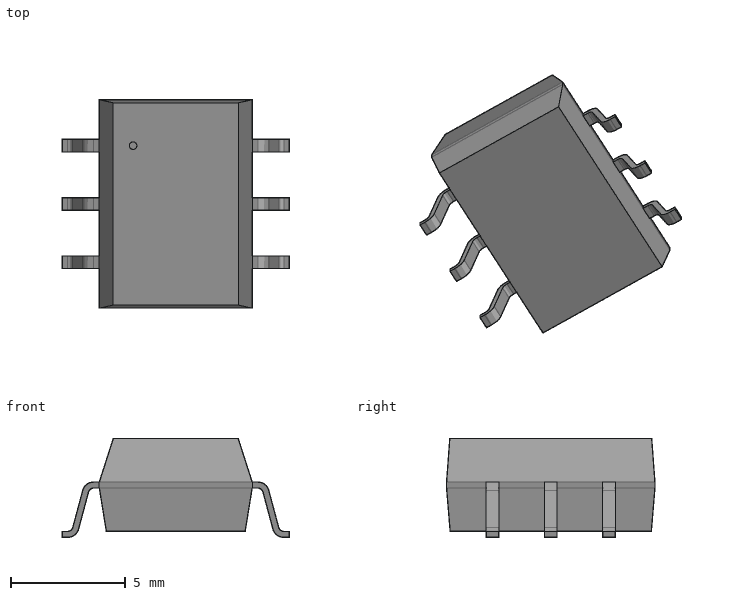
import cadquery as cq
import math

lead_span = 9.91
total_height = 4.32

lead_rows = 3
lead_pitch = 2.54
lead_width = 0.56
lead_thickness = 0.27
bend_inner_radius = 0.23
leg_lean = 15.0

band_width = 6.67
band_length = 9.09
top_width = 5.45
top_length = 8.81
bottom_width = 6.06
bottom_length = 8.78
band_bottom = 2.15
band_height = lead_thickness
band_top = band_bottom + band_height
package_bottom = lead_thickness

marker_diameter = 0.33
marker_depth = 0.1
marker_x = -1.86
marker_y = lead_pitch


def tapered_block(width_low, length_low, z_low, width_high, length_high, z_high):
    """Block whose rectangular section changes evenly from z_low to z_high."""
    return (
        cq.Workplane("XY", origin=(0, 0, z_low))
        .rect(width_low, length_low)
        .workplane(offset=z_high - z_low)
        .rect(width_high, length_high)
        .loft(ruled=True)
    )


def make_marker():
    """Pin 1 marker: a thin disc set into the top face."""
    return (
        cq.Workplane("XY", origin=(marker_x, marker_y, total_height - marker_depth))
        .circle(marker_diameter / 2)
        .extrude(marker_depth)
    )


def make_package(marker):
    """Moulded package with a recess that holds the marker."""
    lower = tapered_block(
        bottom_width, bottom_length, package_bottom, band_width, band_length, band_bottom
    )
    band = cq.Workplane("XY", origin=(0, 0, band_bottom)).rect(band_width, band_length).extrude(band_height)
    upper = tapered_block(band_width, band_length, band_top, top_width, top_length, total_height)
    return lower.union(band).union(upper).cut(marker)


def make_right_lead(y_center):
    """Gull-wing lead on the +X side: a strip swept along its centreline."""
    bend_radius = bend_inner_radius + lead_thickness / 2
    bend_angle = math.radians(90 - leg_lean)
    bend_run = bend_radius * math.sin(bend_angle)
    bend_drop = bend_radius * (1 - math.cos(bend_angle))
    mid_run = bend_radius * math.sin(bend_angle / 2)
    mid_drop = bend_radius * (1 - math.cos(bend_angle / 2))

    shoulder_x = band_width / 2
    foot_x = lead_span / 2
    shoulder_z = band_bottom + band_height / 2
    foot_z = lead_thickness / 2
    leg_drop = shoulder_z - foot_z - 2 * bend_drop
    leg_run = leg_drop * math.tan(math.radians(leg_lean))
    flat_length = (foot_x - shoulder_x - leg_run - 2 * bend_run) / 2
    upper_bend_x = shoulder_x + flat_length
    lower_bend_x = foot_x - flat_length

    centreline = (
        cq.Workplane("XZ", origin=(0, y_center, 0))
        .moveTo(shoulder_x, shoulder_z)
        .lineTo(upper_bend_x, shoulder_z)
        .threePointArc(
            (upper_bend_x + mid_run, shoulder_z - mid_drop),
            (upper_bend_x + bend_run, shoulder_z - bend_drop),
        )
        .lineTo(lower_bend_x - bend_run, foot_z + bend_drop)
        .threePointArc(
            (lower_bend_x - mid_run, foot_z + mid_drop),
            (lower_bend_x, foot_z),
        )
        .lineTo(foot_x, foot_z)
    )
    return (
        cq.Workplane("YZ", origin=(shoulder_x, y_center, shoulder_z))
        .rect(lead_width, lead_thickness)
        .sweep(centreline)
    )


marker = make_marker()
package = make_package(marker)

leads = []
for row in range(lead_rows):
    row_y = (row - (lead_rows - 1) / 2) * lead_pitch
    right_lead = make_right_lead(row_y)
    leads.append(right_lead.val())
    leads.append(right_lead.mirror("YZ").val())

result = cq.Compound.makeCompound([package.val(), marker.val(), *leads])